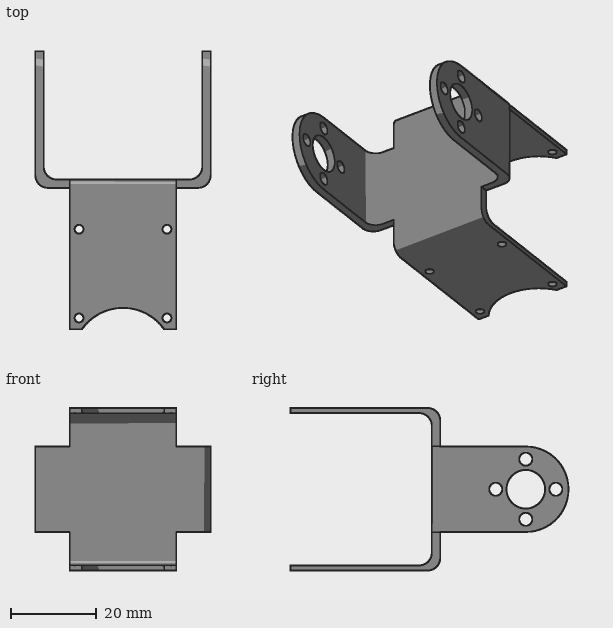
import cadquery as cq

total_length = 65.0
web_thickness = 2.0
bend_radius = 3.0

ear_span = 41.0
ear_reach = 32.0
ear_width = 20.0
ear_thickness = web_thickness
ear_bore = 9.0
ear_screw_hole = 3.0
ear_screw_offset = 7.0

plate_span = 38.0
plate_reach = total_length - ear_reach
plate_width = 24.95
plate_thickness = 1.25
plate_hole = 2.0
plate_hole_spacing_x = 20.55
plate_hole_spacing_y = 20.75
plate_hole_end_margin = 2.65
cutout_width = 19.25
cutout_depth = 5.0


def u_channel(span, reach, arm_thickness, width):
    """U with its web on Y = 0..web_thickness and arms reaching +Y, spread along X."""
    outer = (
        cq.Workplane("XY")
        .box(span, reach, width, centered=(True, False, True))
        .edges("|Z and <Y")
        .fillet(bend_radius)
    )
    inner = (
        cq.Workplane("XY")
        .box(span - 2 * arm_thickness, reach, width, centered=(True, False, True))
        .edges("|Z and <Y")
        .fillet(bend_radius)
        .translate((0, web_thickness, 0))
    )
    return outer.cut(inner)


def make_ears():
    """Side arms with full-round tips, a central bore and four screw holes."""
    tip_radius = ear_width / 2
    axis_y = ear_reach - tip_radius
    side_outline = (
        cq.Workplane("YZ")
        .moveTo(0, -tip_radius)
        .lineTo(axis_y, -tip_radius)
        .threePointArc((ear_reach, 0), (axis_y, tip_radius))
        .lineTo(0, tip_radius)
        .close()
        .extrude(ear_span / 2, both=True)
    )
    holes = (
        cq.Workplane("YZ")
        .center(axis_y, 0)
        .circle(ear_bore / 2)
        .polarArray(ear_screw_offset, 0, 360, 4)
        .circle(ear_screw_hole / 2)
        .extrude(ear_span / 2, both=True)
    )
    channel = u_channel(ear_span, ear_reach, ear_thickness, ear_width)
    return channel.intersect(side_outline).cut(holes)


def make_plates():
    """Upper and lower plates with four holes and an arc cut into the free end."""
    channel = (
        u_channel(plate_span, plate_reach + web_thickness, plate_thickness, plate_width)
        .rotate((0, 0, 0), (0, 1, 0), 90)
        .rotate((0, 0, 0), (0, 0, 1), 180)
        .translate((0, web_thickness, 0))
    )
    holes_y = -plate_reach + plate_hole_end_margin + plate_hole_spacing_y / 2
    holes = (
        cq.Workplane("XY")
        .center(0, holes_y)
        .rarray(plate_hole_spacing_x, plate_hole_spacing_y, 2, 2)
        .circle(plate_hole / 2)
        .extrude(plate_span / 2, both=True)
    )
    half_width = cutout_width / 2
    cutout = (
        cq.Workplane("XY")
        .moveTo(-half_width, -plate_reach)
        .threePointArc((0, -plate_reach + cutout_depth), (half_width, -plate_reach))
        .close()
        .extrude(plate_span / 2, both=True)
    )
    return channel.cut(holes).cut(cutout)


result = make_ears().union(make_plates())